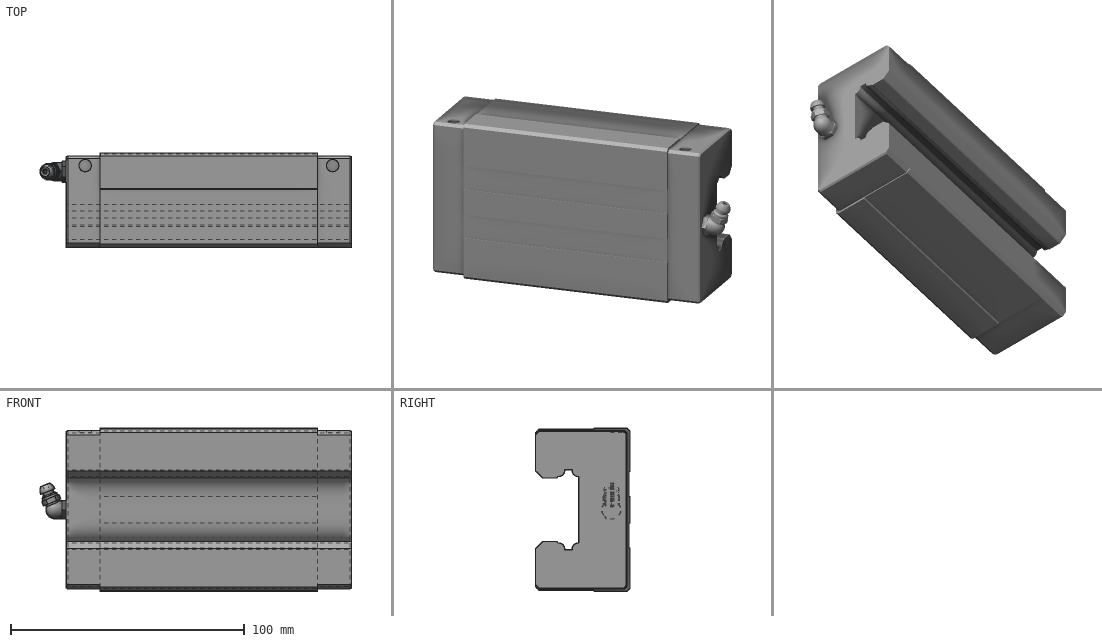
import cadquery as cq
import math


block_length = 93.2
block_height = 40.5
block_half_width = 35.0
block_chamfer = 1.5
back_chamfer = 1.3
relief_depth = 0.5
relief_top = 25.3
relief_slope = 0.5
back_recess_depth = 0.35
back_recess_inner = 5.6
back_recess_outer = 16.3

total_length = 122.3
cap_height = 39.3
cap_half_width = 34.0
cap_chamfer = 1.95
cap_back_chamfer = 1.2
cap_end_bevel_length = 0.8
cap_end_bevel_inset = 0.5
cap_length = (total_length - block_length) / 2

side_hole_diameter = 5.3
side_hole_depth = 1.0
side_hole_x = 53.0
side_hole_y = 35.1

channel_floor = 18.5
lip_half_width = 13.5
lip_start = 9.0
lip_end = 3.4
lip_bevel_run = 0.5
lip_bevel_rise = 0.25
mouth_half_width = 16.6
land_half_width = 14.2
groove_half_width = 17.1
groove_center = 14.1
groove_bottom_half = 1.55
groove_shoulder_offset = 2.5
groove_shoulder_half_width = 14.8
groove_mouth_half = channel_floor - groove_center

nipple_y = 32.5
nipple_tilt = 22.0
base_hex_flats = 8.0
base_hex_length = 1.9
elbow_radius = 3.95
elbow_reach = 4.75
neck_hex_flats = 7.0
hex_corner_bevel = 0.3
root_radius = 3.0
neck_hex_start = 3.4
neck_hex_end = 5.5
collar_radius = 3.4
collar_top_radius = 2.9
collar_shoulder = 6.5
collar_end = 7.1
nipple_groove_radius = 2.4
head_start = 8.4
head_radius = 3.25
head_cylinder_end = 9.2
head_end = 11.5
head_mid = 10.6
head_mid_radius = 2.75
head_top_radius = 2.1
port_radius = 1.0
port_depth = 1.5


def mirrored(points):
    """Close a (y, z) half outline, listed from -Y to +Y, by mirroring it across z = 0."""
    return points + [(y, -z) for y, z in reversed(points)]


def prism(points, length):
    """Extrude a (y, z) outline along X, centred on x = 0."""
    return cq.Workplane("YZ").polyline(points).close().extrude(length / 2, both=True)


def make_block():
    relief_half = block_half_width - relief_depth
    recess_floor = block_height - back_recess_depth
    half_outline = [
        (0, relief_half - block_chamfer),
        (block_chamfer, relief_half),
        (relief_top - relief_slope, relief_half),
        (relief_top, block_half_width),
        (block_height - back_chamfer, block_half_width),
        (block_height, block_half_width - back_chamfer),
        (block_height, back_recess_outer),
        (recess_floor, back_recess_outer),
        (recess_floor, back_recess_inner),
        (block_height, back_recess_inner),
    ]
    return prism(mirrored(half_outline), block_length)


def cap_outline(inset):
    """Cap outline offset inwards by inset, except at the open face and its two chamfers."""
    half_width = cap_half_width - inset
    back = cap_height - inset
    back_chamfer_leg = cap_back_chamfer - inset * (2 - math.sqrt(2))
    return mirrored([
        (0, cap_half_width - cap_chamfer),
        (cap_chamfer - inset, half_width),
        (back - back_chamfer_leg, half_width),
        (back, half_width - back_chamfer_leg),
    ])


def make_cap():
    """End cap at the +X end, bevelled around its outer face."""
    straight_length = cap_length - cap_end_bevel_length
    inner_x = block_length / 2
    straight = (
        cq.Workplane("YZ", origin=(inner_x, 0, 0))
        .polyline(cap_outline(0)).close()
        .extrude(straight_length)
    )
    bevel = (
        cq.Workplane("YZ", origin=(inner_x + straight_length, 0, 0))
        .polyline(cap_outline(0)).close()
        .workplane(offset=cap_end_bevel_length)
        .polyline(cap_outline(cap_end_bevel_inset)).close()
        .loft(ruled=True)
    )
    hole = (
        cq.Workplane("XY", origin=(side_hole_x, side_hole_y, cap_half_width))
        .circle(side_hole_diameter / 2)
        .extrude(-side_hole_depth)
    )
    return straight.union(bevel).cut(hole)


def make_channel():
    """Rail channel with a rounded-shoulder ball groove in each wall."""
    def wall(side):
        return {
            "mouth": (0, side * mouth_half_width),
            "bevel": (lip_end - lip_bevel_run, side * (lip_half_width + lip_bevel_rise)),
            "lip_end": (lip_end, side * lip_half_width),
            "lip_start": (lip_start, side * lip_half_width),
            "land": (groove_center - groove_mouth_half, side * land_half_width),
            "low_shoulder": (groove_center - groove_shoulder_offset, side * groove_shoulder_half_width),
            "low_bottom": (groove_center - groove_bottom_half, side * groove_half_width),
            "high_bottom": (groove_center + groove_bottom_half, side * groove_half_width),
            "high_shoulder": (groove_center + groove_shoulder_offset, side * groove_shoulder_half_width),
            "floor": (channel_floor, side * land_half_width),
        }

    upper = wall(1)
    lower = wall(-1)
    return (
        cq.Workplane("YZ")
        .moveTo(*upper["mouth"])
        .lineTo(*upper["bevel"])
        .lineTo(*upper["lip_end"])
        .lineTo(*upper["lip_start"])
        .lineTo(*upper["land"])
        .threePointArc(upper["low_shoulder"], upper["low_bottom"])
        .lineTo(*upper["high_bottom"])
        .threePointArc(upper["high_shoulder"], upper["floor"])
        .lineTo(*lower["floor"])
        .threePointArc(lower["high_shoulder"], lower["high_bottom"])
        .lineTo(*lower["low_bottom"])
        .threePointArc(lower["low_shoulder"], lower["land"])
        .lineTo(*lower["lip_start"])
        .lineTo(*lower["lip_end"])
        .lineTo(*lower["bevel"])
        .lineTo(*lower["mouth"])
        .close()
        .extrude(total_length / 2, both=True)
    )


def make_hex(flats, length):
    """Hexagon along +Z from z = 0, a corner on +X, corners bevelled at the top end."""
    corner_diameter = flats / math.cos(math.pi / 6)
    envelope = (
        cq.Workplane("XY").circle(corner_diameter / 2).extrude(length)
        .faces(">Z").chamfer(hex_corner_bevel)
    )
    return cq.Workplane("XY").polygon(6, corner_diameter).extrude(length).intersect(envelope)


def make_nipple_stem():
    """Tilting half of the nipple, standing along +Z with the elbow centre at the origin."""
    neck_hex = make_hex(neck_hex_flats, neck_hex_end - neck_hex_start).translate((0, 0, neck_hex_start))
    profile = (
        cq.Workplane("XZ")
        .moveTo(0, 0)
        .lineTo(root_radius, 0)
        .lineTo(root_radius, neck_hex_start)
        .lineTo(collar_radius, neck_hex_start)
        .lineTo(collar_radius, collar_shoulder)
        .lineTo(collar_top_radius, collar_end)
        .lineTo(nipple_groove_radius, collar_end)
        .lineTo(nipple_groove_radius, head_start)
        .lineTo(head_radius, head_start)
        .lineTo(head_radius, head_cylinder_end)
        .threePointArc((head_mid_radius, head_mid), (head_top_radius, head_end))
        .lineTo(port_radius, head_end)
        .lineTo(port_radius, head_end - port_depth)
        .lineTo(0, head_end - port_depth)
        .close()
    )
    turned = profile.revolve(360, (0, 0, 0), (0, 1, 0))
    return turned.union(neck_hex)


def make_nipple():
    """Elbow grease nipple on the -X end face."""
    end_x = -total_length / 2
    elbow_x = end_x - elbow_reach
    base_hex = (
        make_hex(base_hex_flats, base_hex_length)
        .rotate((0, 0, 0), (0, 0, 1), 90)
        .rotate((0, 0, 0), (0, 1, 0), -90)
        .translate((end_x, nipple_y, 0))
    )
    elbow_center = (elbow_x, nipple_y, 0)
    barrel_length = elbow_reach - base_hex_length
    elbow = (
        cq.Workplane("XY")
        .moveTo(-elbow_radius, 0)
        .radiusArc((0, elbow_radius), elbow_radius)
        .lineTo(barrel_length, elbow_radius)
        .lineTo(barrel_length, 0)
        .close()
        .revolve(360, (0, 0, 0), (1, 0, 0))
        .translate(elbow_center)
    )
    stem = (
        make_nipple_stem()
        .rotate((0, 0, 0), (0, 1, 0), -nipple_tilt)
        .translate(elbow_center)
    )
    return base_hex.union(elbow).union(stem)


right_cap = make_cap()
left_cap = right_cap.mirror("YZ")
carriage = make_block().union(right_cap).union(left_cap).cut(make_channel())
result = carriage.union(make_nipple())